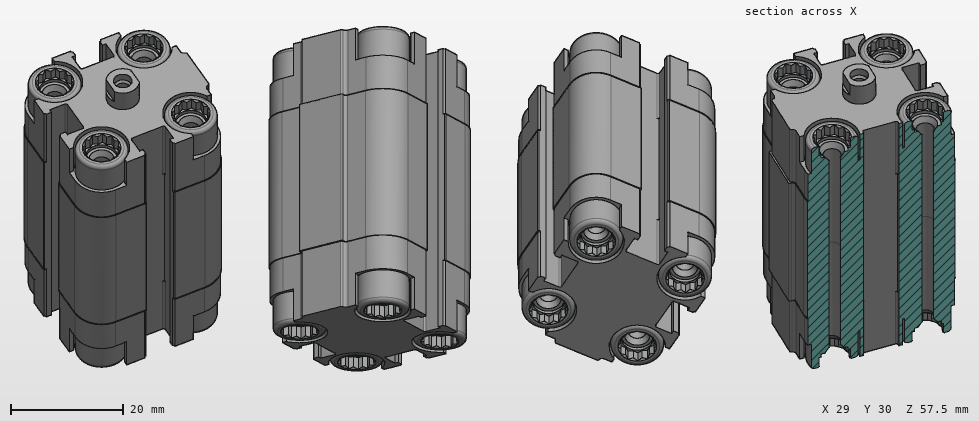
import cadquery as cq
import math


total_height = 57.5
housing_height = 53.2
cap_length = 12.55
boss_height = 6.1

barrel_half_width = 14.5
cap_half_width = 14.3
bolt_offset = 9.0
barrel_ridge_half_width = 4.65
cap_ridge_half_width = 4.4
barrel_ridge_top = 15.5
cap_ridge_top = 15.2
barrel_edge_radius = 0.2
cap_edge_radius = 0.35
barrel_ridge_root_radius = 0.5
cap_ridge_root_radius = 0.7

slot_mouth_half_width = 2.7
slot_inner_half_width = 3.4
slot_lip_depth = 12.95
slot_floor = 9.55
cap_slot_floor_radius = 0.35
slot_angles = (-90, 0, 90)

boss_diameter = 9.5
boss_clearance_diameter = 10.0
boss_fillet = 0.75
boss_drop = 0.1
boss_relief_reach = 6.7
socket_outer_diameter = 6.9
socket_inner_diameter = 6.1
socket_points = 12
socket_depth = 2.3
countersink_depth = 0.35
seat_diameter = 5.7
seat_depth = 3.0
funnel_diameter = 4.5
funnel_depth = 1.15
bolt_hole_diameter = 3.2
boss_top = housing_height - boss_drop

rod_diameter = 6.0
rod_flat_width = 5.0
rod_flat_height = 2.6
rod_counterbore_diameter = 3.3
rod_counterbore_depth = 1.5
rod_hole_diameter = 2.5
rod_hole_countersink_depth = 0.4
rod_hole_depth = 6.9
drill_point_angle = 118.0
rod_bottom = housing_height - cap_length


def box(x_range, y_range, z_range):
    """Box between the given limits."""
    low, high = zip(x_range, y_range, z_range)
    sizes = [b - a for a, b in zip(low, high)]
    return cq.Workplane("XY").box(*sizes, centered=False).translate(low)


def cylinder(diameter, bottom, top):
    """Upright cylinder on the Z axis."""
    return cq.Workplane("XY").workplane(offset=bottom).circle(diameter / 2).extrude(top - bottom)


def cone(bottom_diameter, top_diameter, bottom, top):
    """Upright cone on the Z axis; a bottom diameter of zero gives a point."""
    points = [(0, bottom), (bottom_diameter / 2, bottom), (top_diameter / 2, top), (0, top)]
    if bottom_diameter == 0:
        points.pop(0)
    return cq.Workplane("XZ").polyline(points).close().revolve(360, (0, 0), (0, 1))


def fillet_upright_edges(body, places, height, radius):
    """Round the upright edges of `body` whose midpoints lie at the given XY places."""
    for x, y in places:
        nearest = cq.selectors.NearestToPointSelector((x, y, height))
        body = body.edges("|Z").edges(nearest).fillet(radius)
    return body


def slot_cutter(half_width, z_range, mouth_radius, floor_radius):
    """T-slot for the -Y side, with a rounded mouth; the floor corners are sharp if their radius is zero."""
    chamber = box((-slot_inner_half_width, slot_inner_half_width), (-slot_lip_depth, -slot_floor), z_range)
    if floor_radius > 0:
        chamber = chamber.edges("|Z and >Y").fillet(floor_radius)

    flare = slot_mouth_half_width + mouth_radius
    mouth = (
        cq.Workplane("XY")
        .workplane(offset=z_range[0])
        .moveTo(-slot_mouth_half_width, -slot_lip_depth)
        .lineTo(-slot_mouth_half_width, mouth_radius - half_width)
        .radiusArc((-flare, -half_width), -mouth_radius)
        .lineTo(flare, -half_width)
        .radiusArc((slot_mouth_half_width, mouth_radius - half_width), -mouth_radius)
        .lineTo(slot_mouth_half_width, -slot_lip_depth)
        .close()
        .extrude(z_range[1] - z_range[0])
    )
    return chamber.union(mouth)


def profile_section(
    z_range, half_width, ridge_half_width, ridge_top, ridge_root_radius, edge_radius, slot_floor_radius=0
):
    """Length of the housing profile: rounded square, ridge on the +Y side and three T-slots."""
    across = (-half_width, half_width)
    middle = sum(z_range) / 2
    section = box(across, across, z_range).edges("|Z").fillet(half_width - bolt_offset)
    section = section.union(box((-ridge_half_width, ridge_half_width), (0, ridge_top), z_range))
    for y, radius in ((half_width, ridge_root_radius), (ridge_top, edge_radius)):
        corners = [(-ridge_half_width, y), (ridge_half_width, y)]
        section = fillet_upright_edges(section, corners, middle, radius)

    cutter = slot_cutter(half_width, z_range, edge_radius, slot_floor_radius)
    for angle in slot_angles:
        section = section.cut(cutter.rotate((0, 0, 0), (0, 0, 1), angle))
    return section


def at_each_bolt(tool):
    """Four copies of a tool made on the Z axis, turned to the corners of the housing."""
    corner_tool = tool.translate((bolt_offset, bolt_offset, 0))
    return [corner_tool.rotate((0, 0, 0), (0, 0, 1), 90 * turn) for turn in range(4)]


def upside_down(tool):
    """The same tool at the other end of the housing."""
    return tool.mirror("XY", (0, 0, housing_height / 2))


def corner_relief():
    """Clearance round a boss that leaves the corner of the cap open."""
    z_range = (housing_height - boss_height, housing_height)
    outward = (boss_relief_reach - bolt_offset, boss_clearance_diameter)
    return cylinder(boss_clearance_diameter, *z_range).union(box(outward, outward, z_range))


def boss():
    """Round boss that fills the relief, with a rounded rim."""
    post = cylinder(boss_diameter, housing_height - boss_height, boss_top)
    return post.faces(">Z").edges().fillet(boss_fillet)


def socket_cutter():
    """Twelve-point socket above a round seat, a funnel and the bolt hole."""
    star = []
    for index in range(2 * socket_points):
        diameter = socket_inner_diameter if index % 2 else socket_outer_diameter
        angle = math.pi * index / socket_points
        star.append((diameter / 2 * math.cos(angle), diameter / 2 * math.sin(angle)))
    socket_floor = boss_top - socket_depth
    seat_floor = boss_top - seat_depth

    cutter = cq.Workplane("XY").workplane(offset=socket_floor).polyline(star).close().extrude(socket_depth)
    countersink_floor = boss_top - countersink_depth
    cutter = cutter.union(
        cone(socket_inner_diameter, socket_outer_diameter, countersink_floor, boss_top)
    )
    cutter = cutter.union(cylinder(seat_diameter, seat_floor, socket_floor))
    cutter = cutter.union(cone(bolt_hole_diameter, funnel_diameter, seat_floor - funnel_depth, seat_floor))
    return cutter.union(cylinder(bolt_hole_diameter, housing_height / 2, seat_floor))


def make_housing():
    """Barrel with an end cap, four bosses and four sockets at each end, and a bore for the rod."""
    top_cap = profile_section(
        z_range=(housing_height - cap_length, housing_height),
        half_width=cap_half_width,
        ridge_half_width=cap_ridge_half_width,
        ridge_top=cap_ridge_top,
        ridge_root_radius=cap_ridge_root_radius,
        edge_radius=cap_edge_radius,
        slot_floor_radius=cap_slot_floor_radius,
    )
    for relief in at_each_bolt(corner_relief()):
        top_cap = top_cap.cut(relief)
    for post in at_each_bolt(boss()):
        top_cap = top_cap.union(post)

    barrel = profile_section(
        z_range=(cap_length, housing_height - cap_length),
        half_width=barrel_half_width,
        ridge_half_width=barrel_ridge_half_width,
        ridge_top=barrel_ridge_top,
        ridge_root_radius=barrel_ridge_root_radius,
        edge_radius=barrel_edge_radius,
    )
    body = barrel.union(top_cap).union(upside_down(top_cap))
    for socket in at_each_bolt(socket_cutter()):
        body = body.cut(socket).cut(upside_down(socket))
    return body.cut(cylinder(rod_diameter, rod_bottom, housing_height))


def make_rod():
    """Piston rod with two wrench flats and a counterbored, countersunk and drilled hole in its end."""
    rod = cylinder(rod_diameter, rod_bottom, total_height)
    flat_zone = (total_height - rod_flat_height, total_height)
    for side in (-1, 1):
        y_range = sorted((side * rod_flat_width / 2, side * rod_diameter))
        rod = rod.cut(box((-rod_diameter, rod_diameter), y_range, flat_zone))

    hole_floor = total_height - rod_hole_depth
    drill_point = rod_hole_diameter / 2 / math.tan(math.radians(drill_point_angle / 2))
    counterbore_floor = total_height - rod_counterbore_depth
    countersink_floor = counterbore_floor - rod_hole_countersink_depth
    rod = rod.cut(cylinder(rod_counterbore_diameter, counterbore_floor, total_height))
    rod = rod.cut(cone(rod_hole_diameter, rod_counterbore_diameter, countersink_floor, counterbore_floor))
    rod = rod.cut(cylinder(rod_hole_diameter, hole_floor, total_height))
    return rod.cut(cone(0, rod_hole_diameter, hole_floor - drill_point, hole_floor))


housing = make_housing()
piston_rod = make_rod()
result = cq.Compound.makeCompound([housing.val(), piston_rod.val()])